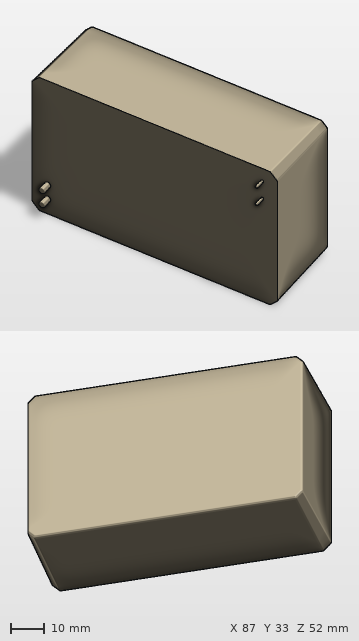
import cadquery as cq

CASE_LENGTH = 87.0
CASE_HEIGHT = 52.0
CASE_DEPTH = 29.6
DRAFT_ANGLE = 1.2
CORNER_CHAMFER = 2.6
CORNER_RADIUS = 1.0
BACK_EDGE_RADIUS = 1.0

PIN_LENGTH = 3.4
PIN_END_FILLET = 0.3

THICK_PIN_DIAMETER = 2.2
THICK_PIN_X = -37.9
THICK_PIN_CENTER_Z = -17.4
THICK_PIN_PITCH = 5.5

THIN_PIN_DIAMETER = 1.0
THIN_PIN_X = 38.1
THIN_PIN_CENTER_Z = 17.7
THIN_PIN_PITCH = 6.8


def make_case():
    """Drafted block with cut corners, rounded along its sides and around its back face."""
    half_length = CASE_LENGTH / 2
    half_height = CASE_HEIGHT / 2
    chamfer_x = half_length - CORNER_CHAMFER
    chamfer_z = half_height - CORNER_CHAMFER
    outline = [
        (chamfer_x, half_height),
        (half_length, chamfer_z),
        (half_length, -chamfer_z),
        (chamfer_x, -half_height),
        (-chamfer_x, -half_height),
        (-half_length, -chamfer_z),
        (-half_length, chamfer_z),
        (-chamfer_x, half_height),
    ]
    drafted_block = (
        cq.Workplane("ZX")
        .polyline([(z, x) for x, z in outline])
        .close()
        .extrude(CASE_DEPTH, taper=DRAFT_ANGLE)
    )
    rounded_sides = drafted_block.edges("not (<Y or >Y)").fillet(CORNER_RADIUS)
    return rounded_sides.faces(">Y").edges().fillet(BACK_EDGE_RADIUS)


def make_pin_pair(diameter, x, center_z, pitch):
    """Two round pins, one above the other, with rounded free ends."""
    return (
        cq.Workplane("XZ")
        .pushPoints([(x, center_z - pitch / 2), (x, center_z + pitch / 2)])
        .circle(diameter / 2)
        .extrude(PIN_LENGTH)
        .faces("<Y")
        .edges()
        .fillet(PIN_END_FILLET)
    )


thick_pins = make_pin_pair(THICK_PIN_DIAMETER, THICK_PIN_X, THICK_PIN_CENTER_Z, THICK_PIN_PITCH)
thin_pins = make_pin_pair(THIN_PIN_DIAMETER, THIN_PIN_X, THIN_PIN_CENTER_Z, THIN_PIN_PITCH)

result = make_case().union(thick_pins).union(thin_pins)